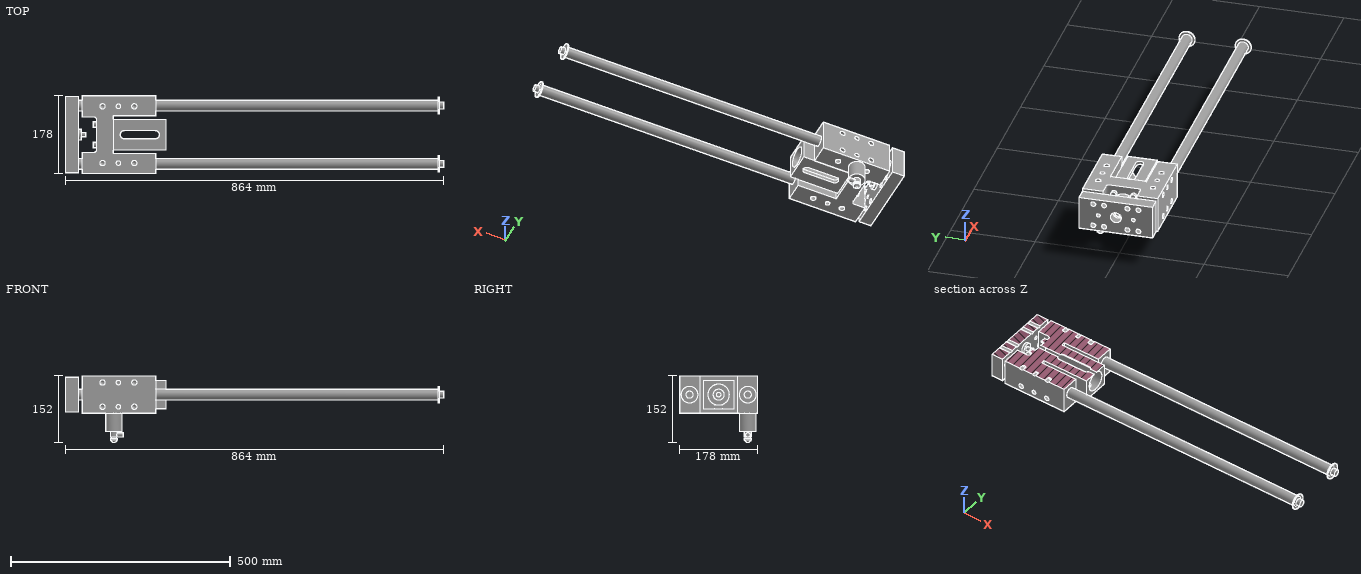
import cadquery as cq

OVERLAP = 2.0
SIDES = (-1, 1)

total_length = 864.0
rod_dia = 25.0
rod_spacing = 133.0
stop_dia = 38.0
stop_thickness = 3.0
stop_screw_dia = 16.0
stop_screw_length = 10.0
stop_front_x = total_length - stop_screw_length - stop_thickness

plate_thickness = 30.0
plate_width = 174.5
plate_height = 80.0
plate_bolt_dia = 11.0
plate_outer_bolt_y = 54.0
plate_inner_bolt_y = 28.0
plate_bolt_z = 28.0
plate_dowel_dia = 8.4
plate_dowel_y = 41.5

coupling_dia = 25.0
coupling_recess_depth = 22.0
coupling_flange_thickness = 6.0
coupling_stud_dia = 10.0
coupling_stud_length = 10.0
coupling_cone_base_dia = 18.0
coupling_cone_tip_dia = 10.0
coupling_cone_height = 4.0

block_front_x = 38.0
block_length = 168.5
block_width = 178.0
block_height = 85.5
web_front_x = 71.0
web_rear_x = 110.0
front_opening_width = 80.0
rear_opening_width = 85.5
opening_fillet = 5.0
block_rear_x = block_front_x + block_length

mount_dia = 12.0
mount_depth = 12.0
mount_tip_height = 3.5
dowel_dia = 10.0
dowel_depth = 12.0
mount_middle_x = 121.0
mount_pitch_x = 36.0
top_mount_y = 65.0
side_mount_z = 28.0

drive_rear_x = 230.0
drive_width = 70.0
drive_height = 65.0
drive_bore_dia = 48.0
slot_width = 18.0
slot_front_x = 125.0
slot_rear_x = 214.0
screw_head_dia = 13.0
screw_head_height = 8.0
screw_offset = 23.0

overall_height = 152.0
lock_x = 111.0
lock_y = rod_spacing / 2
lock_dia = 38.0
lock_length = 41.5
fitting_dia = 16.0
fitting_collar_length = 13.0
fitting_groove_dia = 13.0
fitting_groove_width = 3.0
fitting_tip_dia = 4.9
fitting_tip_height = 5.0
port_dia = 10.0
port_reach = 22.0
port_drop = 8.0


def cylinder_x(dia, start_x, end_x, y=0, z=0):
    """Cylinder parallel to X between two X positions."""
    return cq.Workplane("YZ", origin=(start_x, y, z)).circle(dia / 2).extrude(end_x - start_x)


def box_x(start_x, end_x, width, height):
    """Box centred on the X axis between two X positions."""
    return cq.Workplane("YZ", origin=(start_x, 0, 0)).rect(width, height).extrude(end_x - start_x)


def rod(y):
    """Guide rod with a stop washer and a screw head on its far end."""
    shaft = cylinder_x(rod_dia, plate_thickness - OVERLAP, stop_front_x, y)
    stop = cylinder_x(stop_dia, stop_front_x, stop_front_x + stop_thickness, y)
    screw = cylinder_x(stop_screw_dia, stop_front_x, total_length, y)
    return shaft.union(stop).union(screw)


def front_plate():
    """Front plate with its bolt and dowel holes."""
    plate = box_x(0, plate_thickness, plate_width, plate_height)
    bolts = [
        (side * y, level * plate_bolt_z)
        for y in (plate_outer_bolt_y, plate_inner_bolt_y)
        for side in SIDES
        for level in SIDES
    ]
    for y, z in bolts:
        plate = plate.cut(cylinder_x(plate_bolt_dia, 0, plate_thickness, y, z))
    for side in SIDES:
        plate = plate.cut(cylinder_x(plate_dowel_dia, 0, plate_thickness, side * plate_dowel_y))
    return plate


def add_coupling(plate):
    """Recess with a conical seat in front, flange and stud behind the plate."""
    flange_end_x = plate_thickness + coupling_flange_thickness
    plate = plate.cut(cylinder_x(coupling_dia, 0, coupling_recess_depth))
    plate = plate.union(cylinder_x(coupling_dia, plate_thickness - OVERLAP, flange_end_x))
    plate = plate.union(cylinder_x(coupling_stud_dia, plate_thickness, flange_end_x + coupling_stud_length))
    cone = (
        cq.Workplane("YZ", origin=(coupling_recess_depth, 0, 0))
        .circle(coupling_cone_base_dia / 2)
        .workplane(offset=-coupling_cone_height)
        .circle(coupling_cone_tip_dia / 2)
        .loft()
    )
    return plate.union(cone)


def slide():
    """Moving body: front plate, coupling and both guide rods."""
    body = add_coupling(front_plate())
    for side in SIDES:
        body = body.union(rod(side * rod_spacing / 2))
    return body


def h_block():
    """Block opened at the front and rear, leaving a web between two arms."""
    block = box_x(block_front_x, block_rear_x, block_width, block_height)
    front_opening = box_x(block_front_x, web_front_x, front_opening_width, block_height)
    front_opening = front_opening.edges("|Z and >X").fillet(opening_fillet)
    rear_opening = box_x(web_rear_x, block_rear_x, rear_opening_width, block_height)
    return block.cut(front_opening).cut(rear_opening)


def bolt_hole(start, inward):
    """Blind bolt hole with the conical bottom left by a drill."""
    hole = cq.Solid.makeCylinder(mount_dia / 2, mount_depth, start, inward)
    tip_start = start + inward * mount_depth
    tip = cq.Solid.makeCone(mount_dia / 2, 0, mount_tip_height, tip_start, inward)
    return hole.fuse(tip)


def dowel_hole(start, inward):
    """Plain blind dowel hole."""
    return cq.Solid.makeCylinder(dowel_dia / 2, dowel_depth, start, inward)


def mounting_holes():
    """Rows of bolt, dowel and bolt holes in the four long faces of the block."""
    holes = []
    for step, make_hole in ((-1, bolt_hole), (0, dowel_hole), (1, bolt_hole)):
        x = mount_middle_x + step * mount_pitch_x
        for side in SIDES:
            for face in SIDES:
                flat_start = cq.Vector(x, side * top_mount_y, face * block_height / 2)
                side_start = cq.Vector(x, face * block_width / 2, side * side_mount_z)
                holes.append(make_hole(flat_start, cq.Vector(0, 0, -face)))
                holes.append(make_hole(side_start, cq.Vector(0, -face, 0)))
    return holes


def drive_mount():
    """Slotted block behind the web."""
    mount = box_x(web_rear_x - OVERLAP, drive_rear_x, drive_width, drive_height)
    slot_middle_x = (slot_front_x + slot_rear_x) / 2
    slot = (
        cq.Workplane("XY", origin=(slot_middle_x, 0, 0))
        .slot2D(slot_rear_x - slot_front_x, slot_width)
        .extrude(drive_height, both=True)
    )
    return mount.cut(slot)


def rod_lock():
    """Round lock housing under one rod, with a hose fitting below it."""
    block_bottom_z = -block_height / 2
    lock_bottom_z = block_bottom_z - lock_length
    groove_top_z = lock_bottom_z - fitting_collar_length
    groove_bottom_z = groove_top_z - fitting_groove_width
    tip_z = block_height / 2 - overall_height
    profile = [
        (0, block_bottom_z + OVERLAP),
        (lock_dia / 2, block_bottom_z + OVERLAP),
        (lock_dia / 2, lock_bottom_z),
        (fitting_dia / 2, lock_bottom_z),
        (fitting_dia / 2, groove_top_z),
        (fitting_groove_dia / 2, groove_top_z),
        (fitting_groove_dia / 2, groove_bottom_z),
        (fitting_dia / 2, groove_bottom_z),
        (fitting_dia / 2, tip_z + fitting_tip_height),
        (fitting_tip_dia / 2, tip_z),
        (0, tip_z),
    ]
    turned = cq.Workplane("XZ").polyline(profile).close().revolve(360, (0, 0), (0, 1))
    port = cylinder_x(port_dia, 0, port_reach, 0, lock_bottom_z - port_drop)
    return turned.union(port).translate((lock_x, lock_y, 0))


def housing_body():
    """Fixed body: block, drive mount, screws and rod lock, bored for the rods and the drive."""
    body = h_block().union(drive_mount()).union(rod_lock())
    body = body.cut(cylinder_x(drive_bore_dia, web_front_x, drive_rear_x))
    for side in SIDES:
        for level in SIDES:
            head = cylinder_x(screw_head_dia, web_front_x - screw_head_height, web_front_x + OVERLAP,
                              side * screw_offset, level * screw_offset)
            body = body.union(head)
    for side in SIDES:
        body = body.cut(cylinder_x(rod_dia, block_front_x, block_rear_x, side * rod_spacing / 2))
    for hole in mounting_holes():
        body = body.cut(cq.Workplane(hole))
    return body


housing = housing_body()
moving_slide = slide()
result = cq.Compound.makeCompound([housing.val(), moving_slide.val()])